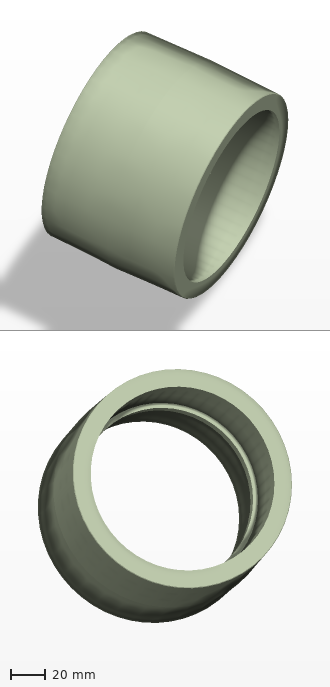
import cadquery as cq

length = 90.0
crown_diameter = 133.5
end_diameter = 131.2
bore_diameter = 110.0
rib_diameter = 104.0
rib_width = 6.7
edge_chamfer = 0.4

half_length = length / 2
crown_radius = crown_diameter / 2
end_radius = end_diameter / 2
bore_radius = bore_diameter / 2
rib_radius = rib_diameter / 2
half_rib = rib_width / 2

shoulder_x = half_length - edge_chamfer
face_radius = end_radius - edge_chamfer

section = (
    cq.Workplane("XY")
    .moveTo(-half_length, bore_radius)
    .lineTo(-half_length, face_radius)
    .lineTo(-shoulder_x, end_radius)
    .lineTo(0, crown_radius)
    .lineTo(shoulder_x, end_radius)
    .lineTo(half_length, face_radius)
    .lineTo(half_length, bore_radius)
    .lineTo(half_rib, bore_radius)
    .lineTo(half_rib, rib_radius)
    .lineTo(-half_rib, rib_radius)
    .lineTo(-half_rib, bore_radius)
    .close()
)

result = section.revolve(360, (0, 0, 0), (1, 0, 0))